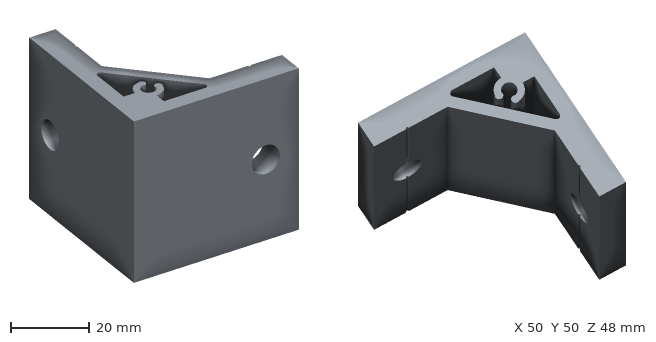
import cadquery as cq

LEG_LENGTH = 50
HEIGHT = 48
LEG_THICKNESS = 8

WEB_REACH = 28
WEB_THICKNESS = 3.2

POCKET_WALL = 4.5
POCKET_RADIUS = 1

BLOCK_SIZE = 12
CHANNEL_OUTER_RADIUS = BLOCK_SIZE - LEG_THICKNESS
CHANNEL_INNER_RADIUS = 2.1
CHANNEL_TIP_RADIUS = 1.1

HOLE_DIAMETER = 8.5
HOLE_FROM_END = 10
GROOVE_DEPTH = 0.5
GROOVE_HALF_WIDTH = 0.5


def prism(points):
    """Extrude a closed outline over the full height."""
    return cq.Workplane("XY").polyline(points).close().extrude(HEIGHT)


def post(x, y, radius):
    """Make a full-height cylinder."""
    return cq.Workplane("XY").center(x, y).circle(radius).extrude(HEIGHT)


def bracket_body():
    """Make two legs joined by the diagonal, with no openings."""
    return prism([
        (0, 0),
        (0, LEG_LENGTH),
        (-LEG_THICKNESS, LEG_LENGTH),
        (-LEG_THICKNESS, WEB_REACH),
        (-WEB_REACH, LEG_THICKNESS),
        (-LEG_LENGTH, LEG_THICKNESS),
        (-LEG_LENGTH, 0),
    ])


def pocket():
    """Make the triangular opening, less the corner block, with the bored screw channel standing in it."""
    outer_diagonal = WEB_REACH + LEG_THICKNESS
    far_end = outer_diagonal - WEB_THICKNESS * 2 ** 0.5 - POCKET_WALL
    opening = prism([
        (-POCKET_WALL, POCKET_WALL),
        (-POCKET_WALL, far_end),
        (-far_end, POCKET_WALL),
    ])
    sharp_corners = opening.edges("|Z").edges("<X or >Y")
    opening = sharp_corners.fillet(POCKET_RADIUS)
    block = cq.Workplane("XY").box(BLOCK_SIZE, BLOCK_SIZE, HEIGHT, centered=False)
    block = block.translate((-BLOCK_SIZE, 0, 0))
    bore = post(-BLOCK_SIZE, BLOCK_SIZE, CHANNEL_INNER_RADIUS)
    return opening.cut(block).union(bore).cut(screw_channel())


def screw_channel():
    """Make the C-shaped ring, open towards the web, with rounded tips."""
    x, y = -BLOCK_SIZE, BLOCK_SIZE
    ring = post(x, y, CHANNEL_OUTER_RADIUS)
    mouth = cq.Workplane("XY").box(BLOCK_SIZE, BLOCK_SIZE, HEIGHT, centered=False)
    ring = ring.cut(mouth.translate((x - BLOCK_SIZE, y, 0)))
    tip_offset = (CHANNEL_OUTER_RADIUS + CHANNEL_INNER_RADIUS) / 2
    ring = ring.cut(post(x, y, CHANNEL_INNER_RADIUS))
    ring = ring.union(post(x - tip_offset, y, CHANNEL_TIP_RADIUS))
    return ring.union(post(x, y + tip_offset, CHANNEL_TIP_RADIUS))


def mounting_cut():
    """Make the hole and V groove of the leg along X."""
    x = HOLE_FROM_END - LEG_LENGTH
    hole = (
        cq.Workplane("XZ", origin=(x, 0, HEIGHT / 2))
        .circle(HOLE_DIAMETER / 2)
        .extrude(-LEG_THICKNESS)
    )
    groove = prism([
        (x - GROOVE_HALF_WIDTH, LEG_THICKNESS),
        (x, LEG_THICKNESS - GROOVE_DEPTH),
        (x + GROOVE_HALF_WIDTH, LEG_THICKNESS),
    ])
    return hole.union(groove)


def swap_legs(shape):
    """Mirror a shape across the bracket's diagonal symmetry plane."""
    return shape.mirror("YZ").rotate((0, 0, 0), (0, 0, 1), 90)


leg_cut = mounting_cut()

result = (
    bracket_body()
    .cut(pocket())
    .cut(leg_cut)
    .cut(swap_legs(leg_cut))
)